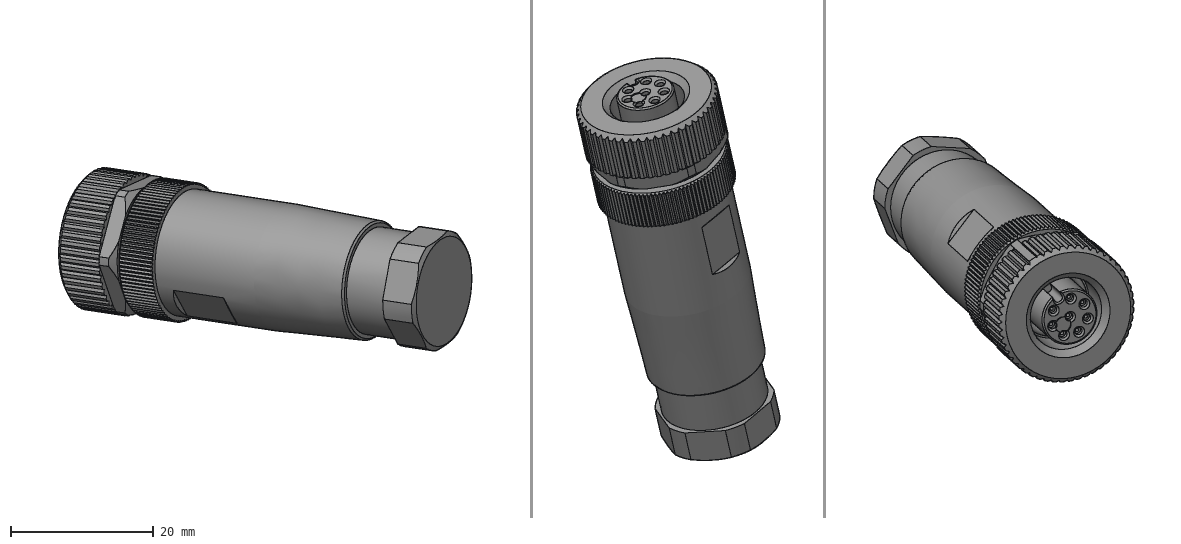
import cadquery as cq
import math


coupling_start = 0.75
knurl_end = 7.75
hex_end = 10.2
collar_start = 10.65
collar_end = 16.2
taper_start = 32.3
taper_end = 46.5
cap_start = 52.85
total_length = 57.9

coupling_diameter = 20.2
coupling_radius = coupling_diameter / 2
coupling_chamfer = 0.75
hex_chamfer = 0.85
coupling_grooves = 52
hex_corner_half_angle = 180 / coupling_grooves
hex_apothem = coupling_radius * math.cos(math.radians(30 - hex_corner_half_angle))
coupling_groove_width = 0.7
coupling_groove_depth = 0.35
index_land_angle = 120

collar_radius = 9.9
collar_chamfer = 0.35
collar_grooves = 2 * coupling_grooves
collar_groove_width = 0.5
collar_groove_depth = 0.25
gap_radius = 6.8
body_radius = 9.05
taper_radius = 8.5
taper_edge = 0.3
neck_radius = 7.65

flat_apothem = 8.5
flat_start = 18.9
flat_end = 27.0
flat_run_out = 0.4
flat_angles = (-40, 140)

cap_radius = 8.5
cap_apothem = 8.0
cap_angle = 20.4
cap_edge_length = 0.4
cap_edge_drop = 0.7

bore_radius = 5.3
bore_mouth_radius = 6.25
bore_floor = 6.95
seal_outer_radius = 5.05
insert_radius = 4.1
insert_edge = 0.25

key_angle = 120
key_width = 1.3
key_floor_radius = 2.85
key_corner_radius = 0.5
key_depth = 4.65
contact_circle_radius = 2.7
contact_step_angle = 49
outer_contacts = 7
contact_mouth_radius = 0.8
contact_radius = 0.5
contact_depth = 0.85
pin_hole_radius = 0.25
pin_hole_depth = 2.3
gate_mark_radius = 1.15
gate_mark_offset = 1.45
gate_mark_angle = 226
gate_mark_depth = 0.2


def around(angle, radius):
    """(y, z) of a point at an angle about X."""
    return (-radius * math.cos(math.radians(angle)), radius * math.sin(math.radians(angle)))


def section(x):
    """Sketch plane across the axis at x, with local axes Y and Z."""
    return cq.Workplane("YZ", origin=(x, 0, 0))


def revolved(points):
    """Solid of revolution about X from (x, radius) points."""
    return cq.Workplane("XY").polyline(points).close().revolve(360, (0, 0, 0), (1, 0, 0))


def cylinder(start, end, radius):
    return section(start).circle(radius).extrude(end - start)


def hexagon(start, end, apothem, flat_angle):
    """Hexagonal bar with one flat facing flat_angle."""
    corner_radius = apothem / math.cos(math.radians(30))
    corners = [around(flat_angle + 30 + 60 * i, corner_radius) for i in range(6)]
    return section(start).polyline(corners).close().extrude(end - start)


def knurled_bar(start, end, radius, count, width, depth):
    """Bar with V grooves along X, the first one at angle 0."""
    half_angle = math.degrees(width / 2 / radius)
    points = []
    for i in range(count):
        angle = 360 / count * i
        points.append(around(angle - half_angle, radius))
        points.append(around(angle, radius - depth))
        points.append(around(angle + half_angle, radius))
    return section(start).polyline(points).close().extrude(end - start)


def index_land():
    """Wedge that fills the grooves across one hexagon corner."""
    reach = 2 * coupling_radius
    sides = [
        (0, 0),
        around(index_land_angle - hex_corner_half_angle, reach),
        around(index_land_angle + hex_corner_half_angle, reach),
    ]
    return section(coupling_start).polyline(sides).close().extrude(knurl_end - coupling_start)


def coupling_ring():
    knurl_blank = revolved([
        (coupling_start, 0),
        (coupling_start, coupling_radius - coupling_chamfer),
        (coupling_start + coupling_chamfer, coupling_radius),
        (knurl_end, coupling_radius),
        (knurl_end, 0),
    ])
    knurl = knurled_bar(coupling_start, knurl_end, coupling_radius, coupling_grooves,
                        coupling_groove_width, coupling_groove_depth)
    knurl = knurl.union(index_land())
    hex_blank = revolved([
        (knurl_end, 0),
        (knurl_end, coupling_radius),
        (hex_end - hex_chamfer, coupling_radius),
        (hex_end, coupling_radius - hex_chamfer),
        (hex_end, 0),
    ])
    hex_rear = hexagon(knurl_end, hex_end, hex_apothem, 90)
    return knurl.intersect(knurl_blank).union(hex_rear.intersect(hex_blank))


def collar():
    blank = revolved([
        (collar_start, 0),
        (collar_start, collar_radius - collar_chamfer),
        (collar_start + collar_chamfer, collar_radius),
        (collar_end, collar_radius),
        (collar_end, 0),
    ])
    knurl = knurled_bar(collar_start, collar_end, collar_radius, collar_grooves,
                        collar_groove_width, collar_groove_depth)
    return knurl.intersect(blank)


def body():
    shell = revolved([
        (collar_end, 0),
        (collar_end, body_radius),
        (taper_start, body_radius),
        (taper_end - taper_edge, taper_radius),
        (taper_end, taper_radius - taper_edge),
        (taper_end, 0),
    ])
    cutter_profile = [
        (flat_start, flat_apothem),
        (flat_end, flat_apothem),
        (flat_end + flat_run_out, body_radius),
        (flat_start - flat_run_out, body_radius),
    ]
    cutter = cq.Workplane("XZ").polyline(cutter_profile).close().extrude(body_radius, both=True)
    for angle in flat_angles:
        shell = shell.cut(cutter.rotate((0, 0, 0), (1, 0, 0), 90 - angle))
    return shell


def cap():
    blank = revolved([
        (cap_start, 0),
        (cap_start, cap_radius),
        (total_length - cap_edge_length, cap_radius),
        (total_length, cap_radius - cap_edge_drop),
        (total_length, 0),
    ])
    return hexagon(cap_start, total_length, cap_apothem, cap_angle).intersect(blank)


def socket_bore():
    mouth = bore_mouth_radius - bore_radius
    return revolved([
        (coupling_start, 0),
        (coupling_start, bore_mouth_radius),
        (coupling_start + mouth, bore_radius),
        (bore_floor, bore_radius),
        (bore_floor, 0),
    ])


def keyway():
    """Slot from the rim of the insert towards the axis, with rounded floor corners."""
    block = (
        section(0)
        .center(key_floor_radius + insert_radius / 2, 0)
        .rect(insert_radius, key_width)
        .extrude(key_depth)
        .edges("|X and <Y")
        .fillet(key_corner_radius)
    )
    return block.rotate((0, 0, 0), (1, 0, 0), 180 - key_angle)


def contact_hole(y, z):
    mouth = contact_mouth_radius - contact_radius
    profile = [
        (0, 0),
        (0, contact_mouth_radius),
        (mouth, contact_radius),
        (contact_depth, contact_radius),
        (contact_depth, pin_hole_radius),
        (pin_hole_depth, pin_hole_radius),
        (pin_hole_depth, 0),
    ]
    return revolved(profile).translate((0, y, z))


def seal():
    tube_radius = (seal_outer_radius - insert_radius) / 2
    ring_radius = seal_outer_radius - tube_radius
    tube = cq.Workplane("XY").center(bore_floor, ring_radius).circle(tube_radius)
    return tube.revolve(360, (0, -ring_radius, 0), (1, -ring_radius, 0))


def insert():
    """Contact carrier with its keyway and contact holes."""
    carrier = cylinder(0, bore_floor, insert_radius).cut(keyway())
    carrier = carrier.faces("<X").chamfer(insert_edge)
    gate_mark = cylinder(0, gate_mark_depth, gate_mark_radius)
    carrier = carrier.cut(gate_mark.translate((0, *around(gate_mark_angle, gate_mark_offset))))
    carrier = carrier.cut(contact_hole(0, 0))
    middle = (outer_contacts - 1) / 2
    for i in range(outer_contacts):
        angle = key_angle + 180 + contact_step_angle * (i - middle)
        carrier = carrier.cut(contact_hole(*around(angle, contact_circle_radius)))
    return carrier


result = (
    coupling_ring()
    .union(cylinder(hex_end, collar_start, gap_radius))
    .union(collar())
    .union(body())
    .union(cylinder(taper_end, cap_start, neck_radius))
    .union(cap())
    .cut(socket_bore())
    .union(insert())
    .union(seal())
)